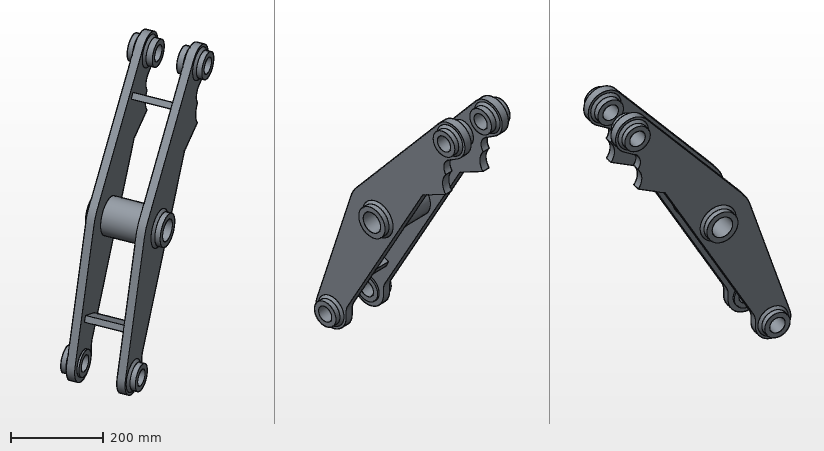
import cadquery as cq
import math

overall_width = 178.0
plate_gap = 100.0
plate_thickness = 20.0
boss_end = overall_width / 2
plate_inner = plate_gap / 2
plate_outer = plate_inner + plate_thickness

middle_pivot = (0, 0)
upper_pivot = (212.0, 300.5)
lower_pivot = (-137.0, -300.5)

eye_radius = 44.0
eye_boss_radius = 32.0
eye_hole_radius = 19.0
middle_boss_radius = 38.5
middle_hole_radius = 25.5
tube_radius = 45.0
weld_size = 6.0
upper_boss_length = 60.0
lower_boss_inner_height = 5.0

elbow = (-74.0, 41.5)
elbow_radius = 85.5
shoulder = (132.0, 122.0)
rear_edge_angle = 29.5
neck_radius = 38.5
tooth_y = 199.0
upper_tooth_z = 206.0
lower_tooth_z = 154.5
tooth_arc_depth = 9.0
scallop_center = (220.5, 223.5)
scallop_radius = 27.0

bar_depth = 50.0
bar_thickness = 15.0
upper_bar_center = (141.0, 224.0)
upper_bar_tilt = 36
lower_bar_center = (-104.0, -202.0)
lower_bar_tilt = 24


def polar(center, radius, angle):
    return (center[0] + radius * math.cos(angle), center[1] + radius * math.sin(angle))


def direction(start, end):
    return math.atan2(end[1] - start[1], end[0] - start[0])


def tangent_angle(center, radius, target, side):
    """Angle at which a line from target touches the circle of this radius around center."""
    return direction(center, target) + side * math.acos(radius / math.dist(center, target))


def cylinder(center, radius, x_start, x_end):
    return cq.Workplane("YZ", origin=(x_start, *center)).circle(radius).extrude(x_end - x_start)


def side_plate():
    upper_front = tangent_angle(upper_pivot, eye_radius, elbow, -1)
    lower_front = tangent_angle(lower_pivot, eye_radius, elbow, 1)
    scallop_tangent = tangent_angle(upper_pivot, eye_radius + scallop_radius, scallop_center, 1)
    scallop_start = polar(scallop_center, scallop_radius, scallop_tangent + math.pi)
    tooth_drop = scallop_center[1] - upper_tooth_z
    scallop_tooth = (scallop_center[0] - math.sqrt(scallop_radius**2 - tooth_drop**2), upper_tooth_z)
    neck_y = lower_pivot[0] + eye_radius
    neck_z = shoulder[1] - (shoulder[0] - neck_y) / math.tan(math.radians(rear_edge_angle))
    outline = (
        cq.Workplane("YZ", origin=(plate_inner, 0, 0))
        .moveTo(*polar(upper_pivot, eye_radius, upper_front))
        .lineTo(*elbow)
        .lineTo(*polar(lower_pivot, eye_radius, lower_front))
        .threePointArc(
            polar(lower_pivot, eye_radius, -math.pi / 2),
            (neck_y, lower_pivot[1]),
        )
        .lineTo(neck_y, neck_z)
        .lineTo(*shoulder)
        .lineTo(tooth_y, lower_tooth_z)
        .threePointArc(
            (tooth_y - tooth_arc_depth, (upper_tooth_z + lower_tooth_z) / 2),
            scallop_tooth,
        )
        .threePointArc(polar(scallop_center, scallop_radius, math.pi), scallop_start)
        .lineTo(*polar(upper_pivot, eye_radius, scallop_tangent))
        .threePointArc(
            polar(upper_pivot, eye_radius, math.pi / 4),
            polar(upper_pivot, eye_radius, upper_front),
        )
        .close()
    )
    plate = outline.extrude(plate_thickness)
    plate_middle = plate_inner + plate_thickness / 2
    for corner, radius in ((elbow, elbow_radius), ((neck_y, neck_z), neck_radius)):
        corner_edge = cq.selectors.NearestToPointSelector((plate_middle, *corner))
        plate = plate.edges("|X").edges(corner_edge).fillet(radius)
    return plate


def weld(center, boss_radius, face_x, outward):
    """Conical weld bead with equal legs standing on a plate face around a boss."""
    tip_x = face_x + outward * weld_size
    profile = cq.Workplane("XY").polyline(
        [(face_x, 0), (face_x, boss_radius + weld_size), (tip_x, boss_radius), (tip_x, 0)]
    )
    return profile.close().revolve(360, (0, 0, 0), (1, 0, 0)).translate((0, *center))


def cross_bar(center, tilt):
    bar = cq.Workplane("XY").box(plate_gap, bar_depth, bar_thickness)
    return bar.rotate((0, 0, 0), (1, 0, 0), -tilt).translate((0, *center))


half = side_plate()
half = half.union(cylinder(upper_pivot, eye_boss_radius, boss_end - upper_boss_length, boss_end))
half = half.union(cylinder(lower_pivot, eye_boss_radius, plate_inner - lower_boss_inner_height, boss_end))
half = half.union(cylinder(middle_pivot, middle_boss_radius, plate_inner, boss_end))
half = half.union(weld(upper_pivot, eye_boss_radius, plate_outer, 1))
half = half.union(weld(upper_pivot, eye_boss_radius, plate_inner, -1))
half = half.union(weld(lower_pivot, eye_boss_radius, plate_outer, 1))
half = half.union(weld(middle_pivot, middle_boss_radius, plate_outer, 1))

result = half.union(half.mirror("YZ"))
result = result.union(cylinder(middle_pivot, tube_radius, -plate_inner, plate_inner))
result = result.union(cross_bar(upper_bar_center, upper_bar_tilt))
result = result.union(cross_bar(lower_bar_center, lower_bar_tilt))

for pivot, hole_radius in (
    (upper_pivot, eye_hole_radius),
    (middle_pivot, middle_hole_radius),
    (lower_pivot, eye_hole_radius),
):
    result = result.cut(cylinder(pivot, hole_radius, -boss_end, boss_end))